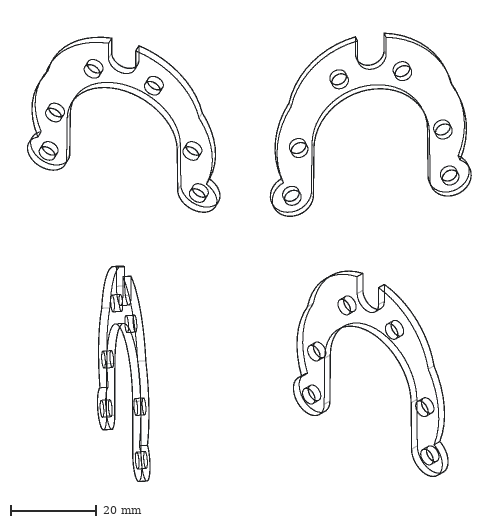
import cadquery as cq
import math

thickness = 2.0
ring_radius = 23.0
bore_radius = 14.0
hole_diameter = 4.0

crown_radius = 20.0
crown_center_z = 8.0
plate_top = crown_center_z + crown_radius

foot_radius = 5.0
foot_x = 19.135
foot_z = -math.sqrt(ring_radius**2 - foot_x**2)

foot_direction = math.atan2(foot_z, foot_x)
leg_tilt = foot_direction + math.acos((bore_radius + foot_radius) / ring_radius)
leg_end_x = foot_x - foot_radius * math.cos(leg_tilt)
leg_end_z = foot_z - foot_radius * math.sin(leg_tilt)

side_hole_x = 17.5
crown_hole_x = 7.675
crown_hole_z = 17.29

slot_width = 6.9
slot_bottom_z = 19.5


def disc(x, z, radius):
    """Cylinder through the plate thickness, centred at (x, z)."""
    cylinder = cq.Workplane("XZ").center(x, z).circle(radius).extrude(thickness)
    return cylinder.translate((0, thickness / 2, 0))


def block(width, bottom, top):
    """Block of plate thickness, centred on X = 0, between two Z levels."""
    bar = cq.Workplane("XY").box(width, thickness, top - bottom)
    return bar.translate((0, 0, (bottom + top) / 2))


def make_opening():
    """Bore whose legs run down along the tangent lines to the feet."""
    bore_x = bore_radius * math.cos(leg_tilt)
    bore_z = bore_radius * math.sin(leg_tilt)
    outline = (
        cq.Workplane("XZ")
        .moveTo(-leg_end_x, leg_end_z)
        .lineTo(-bore_x, bore_z)
        .threePointArc((0, bore_radius), (bore_x, bore_z))
        .lineTo(leg_end_x, leg_end_z)
        .close()
    )
    return outline.extrude(thickness).translate((0, thickness / 2, 0))


def make_body():
    """Ring and crown, cut off level with the leg ends, with the feet added."""
    body = disc(0, 0, ring_radius).union(disc(0, crown_center_z, crown_radius))
    body = body.intersect(block(2 * ring_radius, leg_end_z, plate_top))
    body = body.cut(make_opening())
    for side in (-1, 1):
        body = body.union(disc(side * foot_x, foot_z, foot_radius))
    return body


def make_slot():
    """Open slot with straight walls and a half-round bottom."""
    bottom_radius = slot_width / 2
    bottom_center_z = slot_bottom_z + bottom_radius
    bottom = disc(0, bottom_center_z, bottom_radius)
    return bottom.union(block(slot_width, bottom_center_z, plate_top))


def make_holes():
    """Three mirrored pairs of through holes: feet, ring sides and crown."""
    holes = cq.Workplane("XZ")
    for x, z in ((foot_x, foot_z), (side_hole_x, 0), (crown_hole_x, crown_hole_z)):
        for side in (-1, 1):
            holes = holes.union(disc(side * x, z, hole_diameter / 2))
    return holes


result = make_body().cut(make_slot()).cut(make_holes())